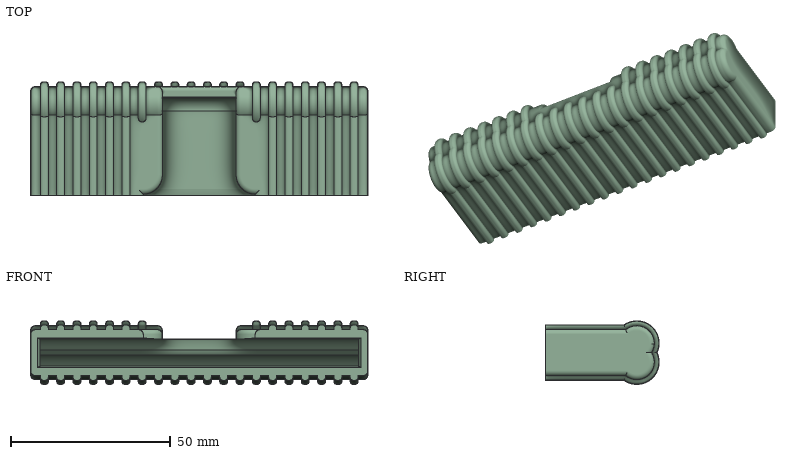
import cadquery as cq

LENGTH = 106.0
DEPTH = 35.73
HEIGHT = 19.94
HALF_LENGTH = LENGTH / 2

RIB_COUNT = 20
RIB_PITCH = 5.125
RIB_WIDTH = 2.5
RIB_HEIGHT = 1.5
RIB_FILLET = 1.0
CAP_RIB_COUNT = 7

BEAD_RADIUS = 5.5
RING_RADIUS = BEAD_RADIUS + RIB_HEIGHT
BEAD_Y = DEPTH - RING_RADIUS
BEAD_Z = HEIGHT / 2 - RING_RADIUS
SLAB_HALF_HEIGHT = 7.22
EDGE_FILLET = 1.5

WINDOW_HALF_WIDTH = 11.6
CAP_CORNER_RADIUS = 6.0
CAP_SETBACK = 0.4
CAP_FRONT_END = WINDOW_HALF_WIDTH + CAP_CORNER_RADIUS

POCKET_LENGTH = 100.2
POCKET_HALF_HEIGHT = 4.27
POCKET_DEPTH = 30.64
FLARE_DEPTH = 2.0
FLARE_SIDE = 0.7
FLARE_HEIGHT = 0.35
GROOVE_RADIUS = 2.7
GROOVE_Z = 2.7


def box(x_start, x_end, y_start, y_end, z_start, z_end):
    """Box between the given limits."""
    size = (x_end - x_start, y_end - y_start, z_end - z_start)
    return cq.Workplane("XY").box(*size, centered=False).translate((x_start, y_start, z_start))


def rod(x_start, x_end, z, radius):
    """Cylinder along X, centred on the bead position in Y."""
    return cq.Workplane("YZ", origin=(x_start, 0, 0)).center(BEAD_Y, z).circle(radius).extrude(x_end - x_start)


def bead(x_start, x_end, z):
    """Bead with rounded ends."""
    return rod(x_start, x_end, z, BEAD_RADIUS).edges().fillet(EDGE_FILLET)


def slab(x_start, x_end):
    """Flat part of the body, rounded along its two ends."""
    block = box(x_start, x_end, 0, BEAD_Y, -SLAB_HALF_HEIGHT, SLAB_HALF_HEIGHT)
    return block.edges("|Y").fillet(EDGE_FILLET)


def make_base():
    """Full-length body up to the window sill, whose back edge is rounded."""
    body = slab(-HALF_LENGTH, HALF_LENGTH)
    for z in (-BEAD_Z, BEAD_Z):
        body = body.union(bead(-HALF_LENGTH, HALF_LENGTH, z))
    below_sill = box(-LENGTH, LENGTH, 0, DEPTH, -HEIGHT, POCKET_HALF_HEIGHT)
    return body.intersect(below_sill).faces(">Z").edges(">Y").fillet(EDGE_FILLET)


def make_cap():
    """Upper half of the body on the -X side of the window."""
    tongue = box(-HALF_LENGTH, -WINDOW_HALF_WIDTH, CAP_SETBACK, BEAD_Y, -SLAB_HALF_HEIGHT, SLAB_HALF_HEIGHT)
    tongue = tongue.edges("|Z and >X and <Y").fillet(CAP_CORNER_RADIUS)
    tongue = tongue.faces(">Z").edges().fillet(EDGE_FILLET)
    cap = slab(-HALF_LENGTH, -CAP_FRONT_END).union(tongue)
    cap = cap.union(bead(-HALF_LENGTH, -WINDOW_HALF_WIDTH, BEAD_Z))
    return cap.intersect(box(-LENGTH, 0, 0, DEPTH, 0, HEIGHT))


def ring_rib(x, z):
    """Rib around a bead."""
    half_width = RIB_WIDTH / 2
    return rod(x - half_width, x + half_width, z, RING_RADIUS).edges().fillet(RIB_FILLET)


def straight_rib(x, side):
    """Rib across the slab, on its top (side = 1) or bottom (side = -1)."""
    half_width = RIB_WIDTH / 2
    rib = box(x - half_width, x + half_width, 0, BEAD_Y, POCKET_HALF_HEIGHT, SLAB_HALF_HEIGHT + RIB_HEIGHT)
    rib = rib.faces(">Z").edges("|Y").fillet(RIB_FILLET)
    return rib if side > 0 else rib.mirror("XY")


def make_ribs():
    """All ribs; on top they leave the window free, and the innermost there have no straight part."""
    ribs = []
    for index in range(RIB_COUNT):
        x = (index - (RIB_COUNT - 1) / 2) * RIB_PITCH
        ribs.append(ring_rib(x, -BEAD_Z))
        ribs.append(straight_rib(x, -1))
        number_from_end = min(index, RIB_COUNT - 1 - index) + 1
        if number_from_end <= CAP_RIB_COUNT:
            ribs.append(ring_rib(x, BEAD_Z))
        if number_from_end < CAP_RIB_COUNT:
            ribs.append(straight_rib(x, 1))
    return ribs


def make_pocket():
    """Flat pocket, its flared mouth and the two grooves along its closed edge."""
    half_length = POCKET_LENGTH / 2
    pocket = box(-half_length, half_length, 0, POCKET_DEPTH, -POCKET_HALF_HEIGHT, POCKET_HALF_HEIGHT)
    height = 2 * POCKET_HALF_HEIGHT
    flare = (
        cq.Workplane("XZ")
        .rect(POCKET_LENGTH + 2 * FLARE_SIDE, height + 2 * FLARE_HEIGHT)
        .workplane(offset=-FLARE_DEPTH)
        .rect(POCKET_LENGTH, height)
        .loft(ruled=True)
    )
    pocket = pocket.union(flare)
    for z in (-GROOVE_Z, GROOVE_Z):
        pocket = pocket.union(rod(-half_length, half_length, z, GROOVE_RADIUS))
    return pocket


left_cap = make_cap()
body = make_base().union(left_cap).union(left_cap.mirror("YZ"))
ribbed_body = cq.Workplane(body.val().fuse(*[rib.val() for rib in make_ribs()]))
result = ribbed_body.cut(make_pocket()).solids()